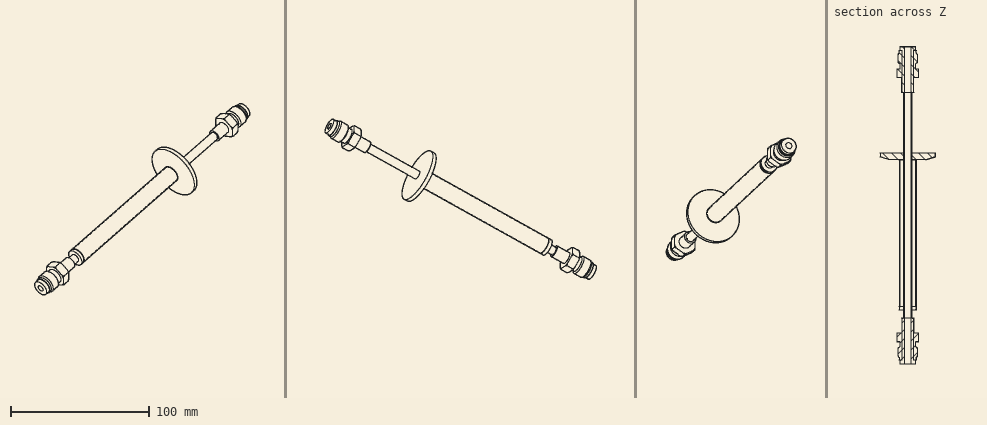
import cadquery as cq
import math

overall_length = 230.1
half_length = overall_length / 2

bore_diameter = 4.5
inner_tube_diameter = 6.5
gland_sleeve_diameter = 9.0
gland_head_diameter = 11.5
gland_head_length = 3.0
gland_length = 33.4

nut_nose_diameter = 12.7
nut_thread_diameter = 14.3
nut_neck_diameter = 11.5
nut_nose_end = 4.5
nut_thread_start = 5.8
nut_thread_end = 11.7
nut_neck_start = 12.7
hex_start = 16.0
hex_end = 22.5
hex_across_flats = 15.9
hex_across_corners = hex_across_flats / math.cos(math.pi / 6)
hex_corner_chamfer = 0.7

flange_back_y = 38.0
flange_diameter = 40.0
flange_rim_thickness = 3.0
flange_thickness = 5.0
flange_face_diameter = 26.2

outer_tube_diameter = 12.7
outer_tube_bore = 11.5
cap_thickness = 2.8
cap_end_y = -76.0

flange_face_y = flange_back_y - flange_thickness
cap_start_y = cap_end_y + cap_thickness


def ring(outer_diameter, bore, start_y, end_y):
    """Plain hollow cylinder along Y."""
    blank = cq.Workplane("XZ", origin=(0, end_y, 0)).circle(outer_diameter / 2).circle(bore / 2)
    return blank.extrude(end_y - start_y)


def turned(profile):
    """Revolve an outline of (radius, Y) points about the Y axis."""
    return cq.Workplane("XY").polyline(profile).close().revolve(360, (0, 0, 0), (0, 1, 0))


def make_gland():
    """Gland at the -Y end: a head in front of the nut and a sleeve through it."""
    head_end_y = -half_length + gland_head_length
    head = ring(gland_head_diameter, bore_diameter, -half_length, head_end_y)
    sleeve = ring(gland_sleeve_diameter, bore_diameter, head_end_y, -half_length + gland_length)
    return head.union(sleeve)


def make_hexagon():
    """Hexagon of the -Y nut, flats facing +-X, with its corners chamfered at both ends."""
    length = hex_end - hex_start
    hexagon = (
        cq.Workplane("XZ", origin=(0, -half_length + hex_end, 0))
        .transformed(rotate=(0, 0, 90))
        .polygon(6, hex_across_corners)
        .extrude(length)
    )
    corner_rounder = (
        cq.Workplane("XZ", origin=(0, -half_length + hex_end, 0))
        .circle(hex_across_corners / 2)
        .extrude(length)
        .edges()
        .chamfer(hex_corner_chamfer)
    )
    return hexagon.intersect(corner_rounder)


def make_nut():
    """Nut at the -Y end: nose, tapered lead-in, threaded barrel, neck and hexagon."""
    bore_radius = gland_sleeve_diameter / 2
    nose_radius = nut_nose_diameter / 2
    thread_radius = nut_thread_diameter / 2
    neck_radius = nut_neck_diameter / 2
    stations = [
        (bore_radius, gland_head_length),
        (nose_radius, gland_head_length),
        (nose_radius, nut_nose_end),
        (thread_radius, nut_thread_start),
        (thread_radius, nut_thread_end),
        (neck_radius, nut_neck_start),
        (neck_radius, hex_end),
        (bore_radius, hex_end),
    ]
    barrel = turned([(radius, -half_length + station) for radius, station in stations])
    gland_hole = cq.Workplane("XZ").circle(bore_radius).extrude(half_length)
    return barrel.union(make_hexagon().cut(gland_hole))


def make_flange():
    """Disc with a tapered front, fitted around the inner tube."""
    bore_radius = inner_tube_diameter / 2
    rim_front_y = flange_back_y - flange_rim_thickness
    return turned([
        (bore_radius, flange_back_y),
        (flange_diameter / 2, flange_back_y),
        (flange_diameter / 2, rim_front_y),
        (flange_face_diameter / 2, flange_face_y),
        (bore_radius, flange_face_y),
    ])


inner_tube_half_length = half_length - gland_length
inner_tube = ring(inner_tube_diameter, bore_diameter, -inner_tube_half_length, inner_tube_half_length)
outer_tube = ring(outer_tube_diameter, outer_tube_bore, cap_start_y, flange_face_y)
end_cap = ring(outer_tube_diameter, inner_tube_diameter, cap_end_y, cap_start_y)
flange = make_flange()

glands = []
nuts = []
for turn in (0, 180):
    glands.append(make_gland().rotate((0, 0, 0), (0, 0, 1), turn).val())
    nuts.append(make_nut().rotate((0, 0, 0), (0, 0, 1), turn).val())

result = cq.Compound.makeCompound([
    inner_tube.val(),
    outer_tube.val(),
    end_cap.val(),
    flange.val(),
    *glands,
    *nuts,
])